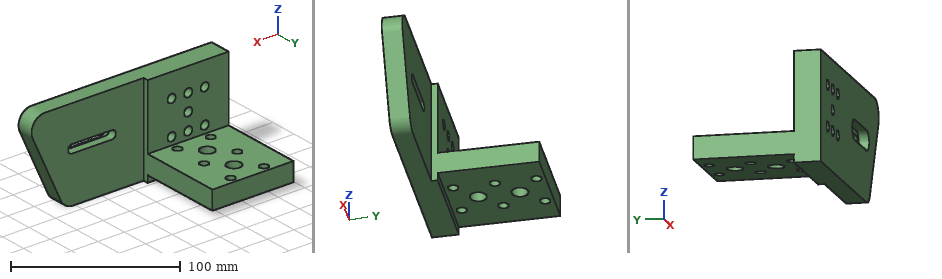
import cadquery as cq
import math

length = 145.8
height = 67.5
plate_thickness = 12.4
corner_radius = 10.0
lower_corner_x = 114.5

depth = 77.3
shelf_width = 61.2
pad_thickness = 16.2
shelf_bottom = 5.1
shelf_thickness = 14.0

hole_pitch = 12.5
small_diameter = 6.1
large_diameter = 10.0
plate_pattern_z = 37.3
shelf_pattern_y = 46.8
pattern_x = shelf_width / 2

slot_x = 100.2
slot_z = 37.5
slot_length = 36.0
slot_width = 6.1
recess_margin = 3.0
recess_depth = plate_thickness / 2


def make_plate():
    """Plate with two rounded right corners joined by a tangent sloping edge."""
    upper_x = length - corner_radius
    upper_z = height - corner_radius
    run = upper_x - lower_corner_x
    rise = upper_z - corner_radius
    slope = math.atan2(rise, run)
    normal = slope - math.pi / 2

    def on_arc(x, z, angle):
        return (x + corner_radius * math.cos(angle), z + corner_radius * math.sin(angle))

    lower_middle = (normal - math.pi / 2) / 2
    upper_middle = (normal + math.pi / 2) / 2
    return (
        cq.Workplane("XZ")
        .lineTo(lower_corner_x, 0)
        .threePointArc(
            on_arc(lower_corner_x, corner_radius, lower_middle),
            on_arc(lower_corner_x, corner_radius, normal),
        )
        .lineTo(*on_arc(upper_x, upper_z, normal))
        .threePointArc(on_arc(upper_x, upper_z, upper_middle), (upper_x, height))
        .lineTo(0, height)
        .close()
        .extrude(-plate_thickness)
    )


def make_slot(slot_size, width, cut_depth):
    """Horizontal slot cutter going inward from the front face."""
    return (
        cq.Workplane("XZ")
        .center(slot_x, slot_z)
        .slot2D(slot_size, width)
        .extrude(-cut_depth)
    )


pad = cq.Workplane("XY").box(shelf_width, pad_thickness, height, centered=False)
shelf = (
    cq.Workplane("XY")
    .workplane(offset=shelf_bottom)
    .rect(shelf_width, depth, centered=False)
    .extrude(shelf_thickness)
)

plate_points = [(i * hole_pitch, j * hole_pitch) for i in (-1, 0, 1) for j in (-1, 1)]
plate_points.append((0, 0))
plate_holes = (
    cq.Workplane("XZ")
    .center(pattern_x, plate_pattern_z)
    .pushPoints(plate_points)
    .circle(small_diameter / 2)
    .extrude(-pad_thickness)
)

shelf_plane = (
    cq.Workplane("XY")
    .workplane(offset=shelf_bottom)
    .center(pattern_x, shelf_pattern_y)
)
small_shelf_holes = (
    shelf_plane.rarray(2 * hole_pitch, 2 * hole_pitch, 2, 3)
    .circle(small_diameter / 2)
    .extrude(shelf_thickness)
)
large_shelf_holes = (
    shelf_plane.rarray(1.5, 2 * hole_pitch, 1, 2)
    .circle(large_diameter / 2)
    .extrude(shelf_thickness)
)

recess_length = slot_length + 2 * recess_margin
recess_width = slot_width + 2 * recess_margin

result = (
    make_plate()
    .union(pad)
    .union(shelf)
    .cut(plate_holes)
    .cut(small_shelf_holes)
    .cut(large_shelf_holes)
    .cut(make_slot(slot_length, slot_width, plate_thickness))
    .cut(make_slot(recess_length, recess_width, recess_depth))
)